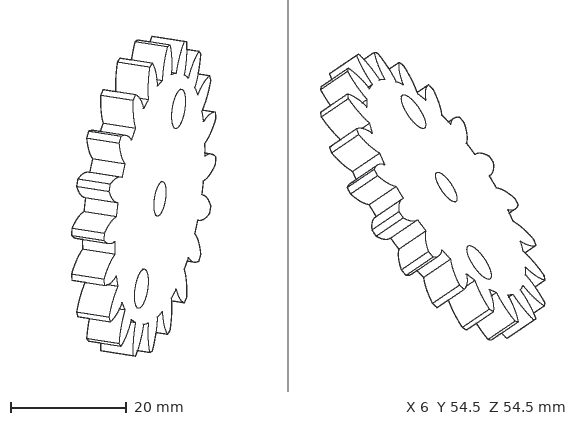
import cadquery as cq
import math

outer_span = 54.5
thickness = 6.0
tooth_count = 20
root_radius = 21.9
root_half_width = 2.25
flank_radius = 24.8
flank_half_width = 1.9
tip_half_width = 0.65
bore_diameter = 6.0
side_hole_diameter = 6.8
side_hole_y = 9.05
side_hole_z = 13.2

pitch_angle = 2 * math.pi / tooth_count
first_tooth_angle = pitch_angle / 2
tip_height = (outer_span / 2 - tip_half_width * math.sin(first_tooth_angle)) / math.cos(first_tooth_angle)
tip_radius = math.hypot(tip_height, tip_half_width)


def polar_point(radius, angle):
    return (radius * math.cos(angle), radius * math.sin(angle))


def gear_outline():
    """Closed gear profile in the YZ plane, tooth by tooth around the centre."""
    root_angle = math.asin(root_half_width / root_radius)
    flank_angle = math.asin(flank_half_width / flank_radius)
    tip_angle = math.asin(tip_half_width / tip_radius)

    start = polar_point(root_radius, first_tooth_angle - root_angle)
    outline = cq.Workplane("YZ").moveTo(*start)
    for tooth in range(tooth_count):
        centre = first_tooth_angle + tooth * pitch_angle
        gap_centre = centre + pitch_angle / 2
        next_start = polar_point(root_radius, centre + pitch_angle - root_angle)
        outline = outline.threePointArc(
            polar_point(flank_radius, centre - flank_angle),
            polar_point(tip_radius, centre - tip_angle),
        )
        outline = outline.threePointArc(
            polar_point(tip_radius, centre),
            polar_point(tip_radius, centre + tip_angle),
        )
        outline = outline.threePointArc(
            polar_point(flank_radius, centre + flank_angle),
            polar_point(root_radius, centre + root_angle),
        )
        outline = outline.threePointArc(polar_point(root_radius, gap_centre), next_start)
    return outline.close()


def through_holes(diameter, centres):
    return cq.Workplane("YZ").pushPoints(centres).circle(diameter / 2).extrude(thickness)


gear = gear_outline().extrude(thickness)
bore = through_holes(bore_diameter, [(0, 0)])
side_holes = through_holes(
    side_hole_diameter,
    [(side_hole_y, side_hole_z), (-side_hole_y, -side_hole_z)],
)

result = gear.cut(bore).cut(side_holes)